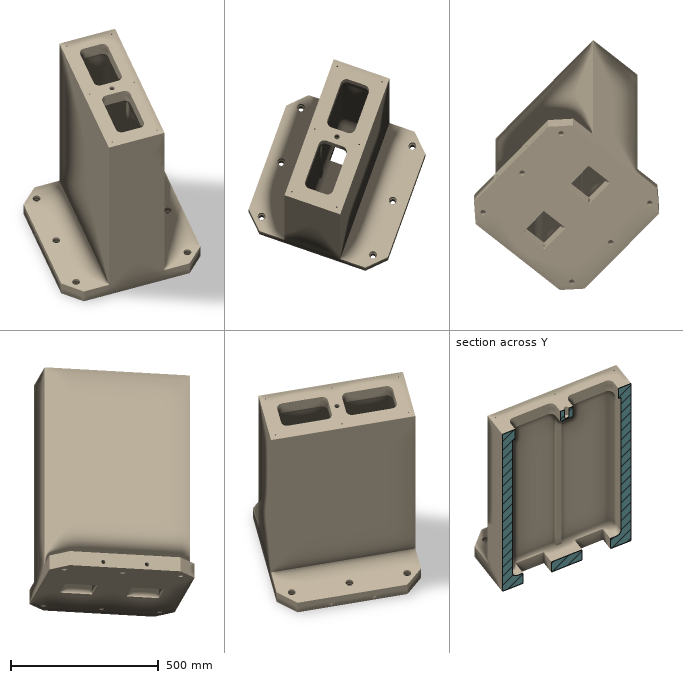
import cadquery as cq
import math

height = 750.0
base_side = height * 2 / 3
base_thickness = base_side / 10
base_corner_chamfer = 60.0
column_depth = base_side * 2 / 5
top_thickness = base_thickness

window_inner_x = 25.0
window_outer_x = 200.0
window_depth = column_depth / 2
window_corner_radius = 20.0
window_center_x = (window_inner_x + window_outer_x) / 2
window_length = window_outer_x - window_inner_x

wall_thickness = 40.0
cavity_length = base_side - 2 * wall_thickness
cavity_depth = column_depth - 2 * wall_thickness
cavity_radius = 20.0
rib_width = 20.0
rib_projection = 7.0
rib_root_radius = 5.0

floor_opening_inner_x = 60.0
floor_opening_outer_x = 169.5
floor_opening_depth = 98.0
floor_opening_corner_radius = 4.5

bolt_pitch = base_side * 2 / 5
bolt_hole_diameter = 18.0
bolt_head_diameter = 26.0
bolt_head_depth = 17.0

drill_tip_angle = 118.0
center_hole_diameter = 17.0
center_hole_depth = 40.0
small_hole_diameter = 5.0
small_hole_depth = 15.0
small_hole_x = 230.0
small_hole_y = 80.0
side_hole_diameter = 14.0
side_hole_depth = 30.0
side_hole_x = 75.0
side_hole_z = 18.0


def block(length, depth, bottom, top):
    """Box centred on the Z axis between two heights."""
    return (
        cq.Workplane("XY")
        .workplane(offset=bottom)
        .rect(length, depth)
        .extrude(top - bottom)
    )


def drilled_hole(diameter, depth, entry, direction):
    """Cutter for a blind hole with a conical drill tip."""
    radius = diameter / 2
    tip_height = radius / math.tan(math.radians(drill_tip_angle / 2))
    start = cq.Vector(*entry)
    axis = cq.Vector(*direction)
    shaft = cq.Solid.makeCylinder(radius, depth, start, axis)
    tip = cq.Solid.makeCone(radius, 0, tip_height, start + axis * depth, axis)
    return shaft.fuse(tip)


def make_body():
    """Base plate with chamfered corners and the column on top."""
    base = block(base_side, base_side, 0, base_thickness)
    base = base.edges("|Z").chamfer(base_corner_chamfer)
    column = block(base_side, column_depth, 0, height)
    return base.union(column)


def make_rib(bottom, top):
    """Rib on the +Y cavity wall, flared by a concave round on each side of its root."""
    half_width = rib_width / 2
    root_half_width = half_width + rib_root_radius
    wall_y = cavity_depth / 2
    flare_y = wall_y - rib_root_radius
    front_y = wall_y - rib_projection
    arc_offset = rib_root_radius * (1 - math.sqrt(0.5))
    arc_x = half_width + arc_offset
    arc_y = wall_y - arc_offset
    return (
        cq.Workplane("XY")
        .workplane(offset=bottom)
        .moveTo(-root_half_width, wall_y)
        .threePointArc((-arc_x, arc_y), (-half_width, flare_y))
        .lineTo(-half_width, front_y)
        .lineTo(half_width, front_y)
        .lineTo(half_width, flare_y)
        .threePointArc((arc_x, arc_y), (root_half_width, wall_y))
        .close()
        .extrude(top - bottom)
    )


def make_cavity():
    """Space inside the column, rounded at the floor and corners, less the ribs."""
    ceiling = height - top_thickness
    cavity = block(cavity_length, cavity_depth, base_thickness, ceiling)
    cavity = cavity.edges("|Z or <Z").fillet(cavity_radius)
    rib = make_rib(base_thickness, ceiling)
    return cavity.cut(rib).cut(rib.mirror("XZ"))


def make_windows():
    """Rounded windows through the column top."""
    return (
        cq.Workplane("XY")
        .workplane(offset=height - top_thickness)
        .pushPoints([(-window_center_x, 0), (window_center_x, 0)])
        .rect(window_length, window_depth)
        .extrude(top_thickness)
        .edges("|Z")
        .fillet(window_corner_radius)
    )


def make_floor_opening(side):
    """Opening through the floor on one side, rounded at its outer corners."""
    length = floor_opening_outer_x - floor_opening_inner_x
    center_x = (floor_opening_outer_x + floor_opening_inner_x) / 2
    opening = block(length, floor_opening_depth, 0, base_thickness + cavity_radius)
    outer_edges = opening.faces(">X" if side > 0 else "<X").edges("|Z")
    return outer_edges.fillet(floor_opening_corner_radius).translate((side * center_x, 0, 0))


def make_bolt_hole(x, y):
    """Counterbored hole through the base plate."""
    shaft = cq.Workplane("XY").circle(bolt_hole_diameter / 2).extrude(base_thickness)
    head = (
        cq.Workplane("XY")
        .workplane(offset=base_thickness - bolt_head_depth)
        .circle(bolt_head_diameter / 2)
        .extrude(bolt_head_depth)
    )
    return shaft.union(head).translate((x, y, 0))


result = make_body().cut(make_cavity()).cut(make_windows())
for side in (-1, 1):
    result = result.cut(make_floor_opening(side))

for side in (-1, 1):
    for x in (-bolt_pitch, 0, bolt_pitch):
        result = result.cut(make_bolt_hole(x, side * bolt_pitch))

center_hole = drilled_hole(center_hole_diameter, center_hole_depth, (0, 0, height), (0, 0, -1))
result = result.cut(cq.Workplane(center_hole))
for side in (-1, 1):
    for x in (-small_hole_x, 0, small_hole_x):
        entry = (x, side * small_hole_y, height)
        small_hole = drilled_hole(small_hole_diameter, small_hole_depth, entry, (0, 0, -1))
        result = result.cut(cq.Workplane(small_hole))
    for x in (-side_hole_x, side_hole_x):
        entry = (x, side * base_side / 2, side_hole_z)
        side_hole = drilled_hole(side_hole_diameter, side_hole_depth, entry, (0, -side, 0))
        result = result.cut(cq.Workplane(side_hole))